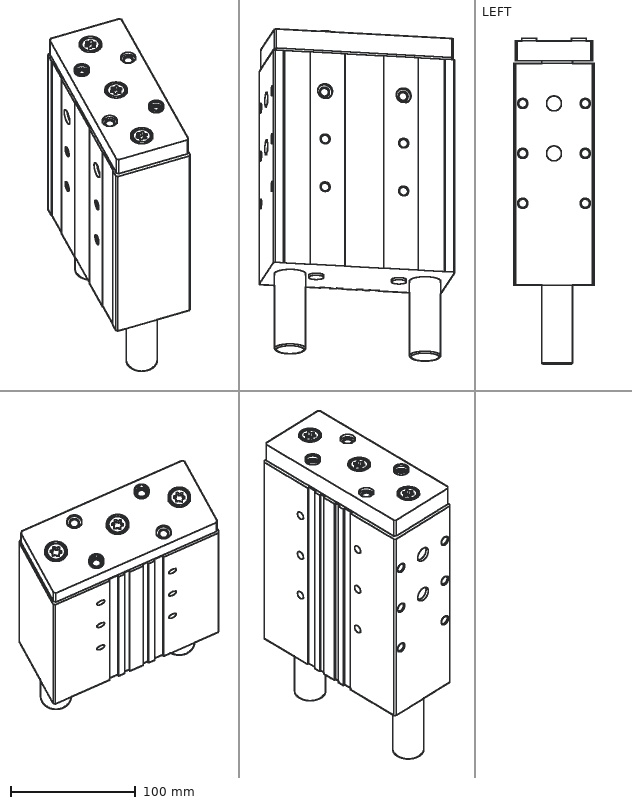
import cadquery as cq
import math


housing_width = 148.0
housing_depth = 64.1
housing_height = 177.5
housing_chamfer = 1.3
half_width = housing_width / 2
front_y = -housing_depth / 2
rear_y = housing_depth / 2

recess_depth = 0.4
middle_recess_half_width = 15.8
side_recess_inner_x = 44.0
side_recess_outer_x = 65.0
recess_ramp = 1.0

rear_groove_depth = 1.5
narrow_groove_inner_x = 6.0
narrow_groove_outer_x = 10.6
wide_groove_inner_x = 16.2
wide_groove_outer_x = 24.0

thread_diameter = 8.0
thread_core_diameter = 6.65
thread_chamfer = (thread_diameter - thread_core_diameter) / 2
sleeve_seat_diameter = 12.0
sleeve_seat_depth = 2.6

row_count = 3
port_count = 2
row_spacing = 40.0
top_row_z = housing_height - 32.1
hole_rows_z = [top_row_z - row * row_spacing for row in range(row_count)]
front_hole_x = 32.0
side_hole_y = 25.0
side_hole_depth = 16.0
drill_point_angle = 118.0
port_recess_diameter = 12.0
port_recess_depth = 2.5

foot_diameter = 12.0
foot_height = 1.8
foot_x = 33.75

plate_width = 146.0
plate_depth = 62.0
plate_thickness = 16.0
plate_chamfer = 1.5
plate_gap = 2.0
plate_bottom_z = housing_height + plate_gap
plate_top_z = plate_bottom_z + plate_thickness
plate_hole_x = 30.0
plate_hole_y = 20.0

guide_rod_x = 55.0
rod_y = -2.5
guide_rod_diameter = 25.0
guide_rod_overhang = 63.5
guide_rod_chamfer = 1.2
piston_rod_diameter = 14.5
piston_rod_insertion = 150.0
screw_shank_diameter = 11.0
screw_head_diameter = 16.0
screw_head_height = 10.0
screw_head_chamfer = 1.0
screw_seat_diameter = 18.0
torx_core_radius = 3.3
torx_lobe_radius = 1.0
torx_outer_radius = 4.6
torx_depth = 4.0
torx_lobes = 6

sleeve_protrusion = 2.3
sleeve_bore_diameter = 10.4
sleeve_top_diameter = 11.45
sleeve_chamfer = (sleeve_seat_diameter - sleeve_top_diameter) / 2


def cylinder(diameter, height, origin, direction=(0, 0, 1)):
    """Cylinder that starts at origin and runs along direction."""
    solid = cq.Solid.makeCylinder(diameter / 2, height, cq.Vector(*origin), cq.Vector(*direction))
    return cq.Workplane(obj=solid)


def cone(start_diameter, end_diameter, height, origin, direction):
    """Cone that starts at origin and runs along direction."""
    solid = cq.Solid.makeCone(
        start_diameter / 2, end_diameter / 2, height, cq.Vector(*origin), cq.Vector(*direction)
    )
    return cq.Workplane(obj=solid)


def tapped_hole(origin, direction, depth):
    """Cutter for a tapped hole: its core bore and the chamfer at its mouth."""
    bore = cylinder(thread_core_diameter, depth, origin, direction)
    mouth = cone(thread_diameter, thread_core_diameter, thread_chamfer, origin, direction)
    return bore.union(mouth)


def front_recesses():
    """Cutter for the middle recess and the two side recesses of the front face."""
    floor_y = front_y + recess_depth
    middle = (
        cq.Workplane("XY")
        .rect(2 * middle_recess_half_width, 2 * recess_depth)
        .extrude(housing_height)
        .translate((0, front_y, 0))
    )
    side = (
        cq.Workplane("XY")
        .polyline([
            (side_recess_inner_x, front_y),
            (side_recess_inner_x, floor_y),
            (side_recess_outer_x, floor_y),
            (side_recess_outer_x + recess_ramp, front_y),
        ])
        .close()
        .extrude(housing_height)
    )
    return middle.union(side).union(side.mirror("YZ"))


def rear_grooves():
    """Cutter for the narrow and the wide groove on each half of the rear face."""
    grooves = cq.Workplane("XY")
    for inner_x, outer_x in (
        (narrow_groove_inner_x, narrow_groove_outer_x),
        (wide_groove_inner_x, wide_groove_outer_x),
    ):
        for side in (-1, 1):
            groove = (
                cq.Workplane("XY")
                .center(side * (inner_x + outer_x) / 2, rear_y)
                .rect(outer_x - inner_x, 2 * rear_groove_depth)
                .extrude(housing_height)
            )
            grooves = grooves.add(groove)
    return grooves.combine()


def cut_front_holes(housing):
    """Tapped holes through the housing; the top row has sleeve seats in front."""
    for z in hole_rows_z:
        for x in (-front_hole_x, front_hole_x):
            seat_depth = sleeve_seat_depth if z == top_row_z else 0.0
            if seat_depth:
                housing = housing.cut(
                    cylinder(sleeve_seat_diameter, seat_depth, (x, front_y, z), (0, 1, 0))
                )
            hole_origin = (x, front_y + seat_depth, z)
            housing = housing.cut(tapped_hole(hole_origin, (0, 1, 0), housing_depth))
    return housing


def cut_side_holes(housing):
    """Blind tapped holes and flat port recesses in the -X side."""
    inward = (1, 0, 0)
    point_height = thread_core_diameter / 2 / math.tan(math.radians(drill_point_angle / 2))
    for z in hole_rows_z:
        for y in (-side_hole_y, side_hole_y):
            housing = housing.cut(tapped_hole((-half_width, y, z), inward, side_hole_depth))
            point_origin = (side_hole_depth - half_width, y, z)
            housing = housing.cut(cone(thread_core_diameter, 0, point_height, point_origin, inward))
    for z in hole_rows_z[:port_count]:
        port_origin = (-half_width, 0, z)
        housing = housing.cut(cylinder(port_recess_diameter, port_recess_depth, port_origin, inward))
    return housing


def make_housing():
    housing = (
        cq.Workplane("XY")
        .rect(housing_width, housing_depth)
        .extrude(housing_height)
        .edges("|Z")
        .chamfer(housing_chamfer)
        .cut(front_recesses())
        .cut(rear_grooves())
    )
    housing = cut_front_holes(housing)
    housing = cut_side_holes(housing)
    for x in (-guide_rod_x, guide_rod_x):
        housing = housing.cut(cylinder(guide_rod_diameter, housing_height, (x, rod_y, 0)))
    piston_bore_bottom = (0, rod_y, housing_height - piston_rod_insertion)
    housing = housing.cut(cylinder(piston_rod_diameter, piston_rod_insertion, piston_bore_bottom))
    for x in (-foot_x, foot_x):
        housing = housing.union(cylinder(foot_diameter, foot_height, (x, rod_y, -foot_height)))
    return housing


def make_plate():
    plate = (
        cq.Workplane("XY", origin=(0, 0, plate_bottom_z))
        .rect(plate_width, plate_depth)
        .extrude(plate_thickness)
        .edges("|Z")
        .chamfer(plate_chamfer)
    )
    plate = (
        plate.faces(">Z")
        .workplane(origin=(0, 0, plate_top_z))
        .pushPoints([(x, rod_y) for x in (-guide_rod_x, 0, guide_rod_x)])
        .cboreHole(screw_shank_diameter, screw_seat_diameter, screw_head_height)
    )
    down = (0, 0, -1)
    for x in (-plate_hole_x, plate_hole_x):
        for y in (-plate_hole_y, plate_hole_y):
            seat = cylinder(sleeve_seat_diameter, sleeve_seat_depth, (x, y, plate_top_z), down)
            hole_origin = (x, y, plate_top_z - sleeve_seat_depth)
            plate = plate.cut(seat).cut(tapped_hole(hole_origin, down, plate_thickness))
    return plate


def torx_socket():
    """Cutter for a six-lobed screw socket, with two lobes along Y."""
    bottom = cq.Workplane("XY", origin=(0, rod_y, plate_top_z - torx_depth))
    core = bottom.circle(torx_core_radius).extrude(torx_depth)
    lobes = (
        bottom.polarArray(torx_outer_radius - torx_lobe_radius, 90, 360, torx_lobes)
        .circle(torx_lobe_radius)
        .extrude(torx_depth)
    )
    return core.union(lobes)


def make_screw():
    """Screw through the plate at x = 0, with its head flush with the plate top."""
    shank = cylinder(screw_shank_diameter, plate_thickness, (0, rod_y, plate_bottom_z))
    head_bottom = (0, rod_y, plate_top_z - screw_head_height)
    head = cylinder(screw_head_diameter, screw_head_height, head_bottom)
    head = head.faces(">Z").chamfer(screw_head_chamfer)
    return shank.union(head).cut(torx_socket())


def make_guide_rod(x):
    rod = cylinder(guide_rod_diameter, guide_rod_overhang + plate_bottom_z, (0, rod_y, -guide_rod_overhang))
    rod = rod.faces("<Z").chamfer(guide_rod_chamfer)
    return rod.union(make_screw()).translate((x, 0, 0))


def make_piston_rod():
    rod_bottom = (0, rod_y, housing_height - piston_rod_insertion)
    rod = cylinder(piston_rod_diameter, piston_rod_insertion + plate_gap, rod_bottom)
    return rod.union(make_screw())


def make_sleeve(x, y):
    height = sleeve_seat_depth + sleeve_protrusion
    bottom = (x, y, plate_top_z - sleeve_seat_depth)
    sleeve = cylinder(sleeve_seat_diameter, height, bottom)
    sleeve = sleeve.faces(">Z").chamfer(sleeve_chamfer)
    return sleeve.cut(cylinder(sleeve_bore_diameter, height, bottom))


housing = make_housing()
plate = make_plate()
guide_rods = [make_guide_rod(x) for x in (-guide_rod_x, guide_rod_x)]
piston_rod = make_piston_rod()
sleeves = [make_sleeve(side * plate_hole_x, side * plate_hole_y) for side in (-1, 1)]

result = cq.Compound.makeCompound([
    housing.val(),
    plate.val(),
    *[rod.val() for rod in guide_rods],
    piston_rod.val(),
    *[sleeve.val() for sleeve in sleeves],
])